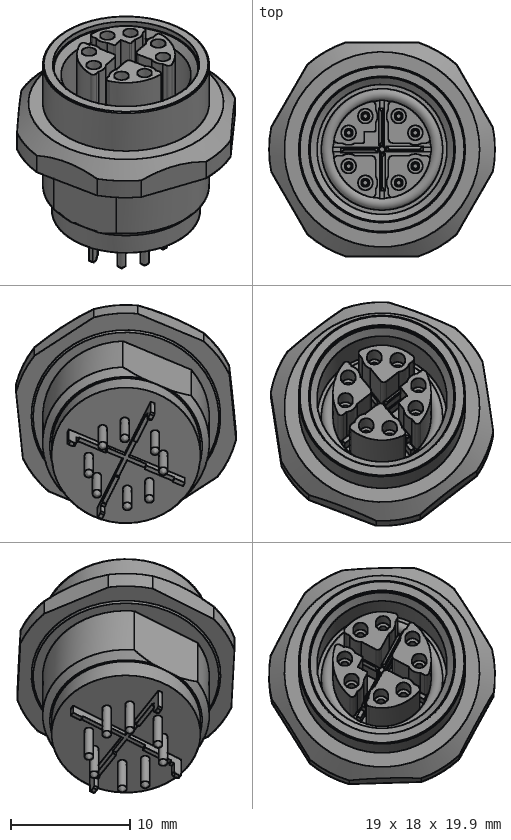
import cadquery as cq
import math

BODY_CHAMFER_BOTTOM_Z = 1.9
BODY_CHAMFER_TOP_Z = 2.55
WASHER_BOTTOM_Z = 7.87
NUT_BOTTOM_Z = 8.03
NUT_TOP_Z = 11.05
RIM_Z = 15.05
INSERT_TOP_Z = 16.05
PIN_TIP_Z = -3.85
CAVITY_FLOOR_Z = 7.5
CONTACT_TOP_Z = 13.0

BODY_DIAMETER = 14.0
BASE_DIAMETER = 12.5
BODY_FLATS = 12.5
BODY_CHAMFER_BOTTOM_DIAMETER = 12.8
RIM_CHAMFER = 0.1
NUT_FLATS = 18.0
NUT_CORNER_DIAMETER = 19.0
NUT_TOP_DIAMETER = 16.4
WASHER_DIAMETER = 15.9
WASHER_TIP_DIAMETER = 15.6

CAVITY_DIAMETER = 10.92
CAVITY_TAPER_DIAMETER = 12.1
CAVITY_MOUTH_DIAMETER = 12.3
CAVITY_MOUTH_DEPTH = 0.5
CAVITY_TAPER_DEPTH = 0.6
RING_MEAN_RADIUS = 4.6
RING_SECTION_RADIUS = 0.5
RING_CENTRE_HEIGHT = 0.3

KEYED_QUADRANT = 1
INSERT_RADIUS = 4.125
INSERT_GAP_HALF = 0.54
INSERT_BULGE_RADIUS = 1.02
INSERT_EDGE_RADIUS = 0.3
INSERT_CORNER_RADIUS = 0.35
KEY_TIP_RADIUS = 0.1
KEY_NOTCH = 1.5

CONTACT_NEAR = 1.4
CONTACT_FAR = 2.8
SOCKET_DIAMETER = 1.24
CONTACT_BORE_DIAMETER = 0.7
CONTACT_BORE_FLOOR_DIAMETER = 0.44
CONTACT_BORE_DEPTH = 4.0
PIN_DIAMETER = 0.75

LEGLESS_ARM = 0
SHIELD_THICKNESS = 0.36
SHIELD_HALF_WIDTH = 5.37
SHIELD_TOP_Z = 9.5
SHIELD_END_Z = -0.97
SHIELD_WEB_Z = -0.77
SHIELD_RELIEF_Z = -0.46
SHIELD_RELIEF_HALF = 1.8
SHIELD_END_WIDTH = 0.97
LEG_WIDTH = 0.7
LEG_TIP_Z = -2.27
LEG_TIP_CHAMFER = 0.15
BLADE_TOP_Z = 11.5
BLADE_INNER = 0.35
BLADE_OUTER = 3.45
BLADE_OFFSET = 0.1
BLADE_BEVEL = 0.25
HUB_RADIUS = 0.24


def cylinder(diameter, bottom, top):
    """Cylinder on the Z axis between two heights."""
    return cq.Workplane("XY").workplane(offset=bottom).circle(diameter / 2).extrude(top - bottom)


def box(x_min, x_max, y_min, y_max, z_min, z_max):
    """Axis-aligned block given by its limits."""
    size = (x_max - x_min, y_max - y_min, z_max - z_min)
    return cq.Workplane("XY").box(*size, centered=False).translate((x_min, y_min, z_min))


def make_body():
    """Turned shell with two flats, a chamfered lower edge and a stepped base."""
    body = (
        cq.Workplane("XZ")
        .moveTo(0, BODY_CHAMFER_BOTTOM_Z)
        .lineTo(BODY_CHAMFER_BOTTOM_DIAMETER / 2, BODY_CHAMFER_BOTTOM_Z)
        .lineTo(BODY_DIAMETER / 2, BODY_CHAMFER_TOP_Z)
        .lineTo(BODY_DIAMETER / 2, RIM_Z)
        .lineTo(0, RIM_Z)
        .close()
        .revolve(360, (0, 0), (0, 1))
        .faces(">Z")
        .chamfer(RIM_CHAMFER)
    )
    half_flats = BODY_FLATS / 2
    half_body = BODY_DIAMETER / 2
    for side in (1, -1):
        y_limits = sorted((side * half_flats, side * BODY_DIAMETER))
        body = body.cut(box(-half_body, half_body, *y_limits, BODY_CHAMFER_BOTTOM_Z, NUT_BOTTOM_Z))
    return body.union(cylinder(BASE_DIAMETER, 0, BODY_CHAMFER_BOTTOM_Z))


def make_nut():
    """Hexagonal nut with turned corners, a 45 degree top chamfer and a washer face."""
    corner_radius = NUT_CORNER_DIAMETER / 2
    chamfer = (NUT_CORNER_DIAMETER - NUT_TOP_DIAMETER) / 2
    turned = (
        cq.Workplane("XZ")
        .moveTo(0, NUT_BOTTOM_Z)
        .lineTo(corner_radius, NUT_BOTTOM_Z)
        .lineTo(corner_radius, NUT_TOP_Z - chamfer)
        .lineTo(NUT_TOP_DIAMETER / 2, NUT_TOP_Z)
        .lineTo(0, NUT_TOP_Z)
        .close()
        .revolve(360, (0, 0), (0, 1))
    )
    hexagon = (
        cq.Workplane("XY")
        .workplane(offset=NUT_BOTTOM_Z)
        .polygon(6, NUT_FLATS / math.cos(math.pi / 6))
        .extrude(NUT_TOP_Z - NUT_BOTTOM_Z)
    )
    washer = (
        cq.Workplane("XY")
        .workplane(offset=WASHER_BOTTOM_Z)
        .circle(WASHER_TIP_DIAMETER / 2)
        .workplane(offset=NUT_BOTTOM_Z - WASHER_BOTTOM_Z)
        .circle(WASHER_DIAMETER / 2)
        .loft()
    )
    return turned.intersect(hexagon).union(washer)


def make_cavity():
    """Mating cavity with a wider mouth that tapers down to the bore."""
    taper_top = RIM_Z - CAVITY_MOUTH_DEPTH
    return (
        cq.Workplane("XZ")
        .moveTo(0, CAVITY_FLOOR_Z)
        .lineTo(CAVITY_DIAMETER / 2, CAVITY_FLOOR_Z)
        .lineTo(CAVITY_DIAMETER / 2, taper_top - CAVITY_TAPER_DEPTH)
        .lineTo(CAVITY_TAPER_DIAMETER / 2, taper_top)
        .lineTo(CAVITY_MOUTH_DIAMETER / 2, taper_top)
        .lineTo(CAVITY_MOUTH_DIAMETER / 2, INSERT_TOP_Z)
        .lineTo(0, INSERT_TOP_Z)
        .close()
        .revolve(360, (0, 0), (0, 1))
    )


def make_sealing_ring():
    """Round-section ring partly sunk in the cavity floor."""
    return (
        cq.Workplane("XZ")
        .center(RING_MEAN_RADIUS, CAVITY_FLOOR_Z + RING_CENTRE_HEIGHT)
        .circle(RING_SECTION_RADIUS)
        .revolve(360, (-RING_MEAN_RADIUS, 0), (-RING_MEAN_RADIUS, 1))
    )


def make_insert(keyed):
    """Contact carrier of the +X +Y quadrant, bulging around its two contacts.

    The keyed carrier has a square notch in place of its rounded inner corner.
    """
    bottom = CAVITY_FLOOR_Z
    gap = INSERT_GAP_HALF
    quadrant = box(gap, INSERT_RADIUS, gap, INSERT_RADIUS, bottom, INSERT_TOP_Z)
    insert = quadrant.intersect(cylinder(2 * INSERT_RADIUS, bottom, INSERT_TOP_Z))
    insert = insert.edges("|Z").edges(">X or >Y").fillet(INSERT_EDGE_RADIUS)
    if keyed:
        insert = insert.cut(box(0, KEY_NOTCH, 0, KEY_NOTCH, bottom, INSERT_TOP_Z))
        insert = insert.edges("|Z").edges("<X or <Y").fillet(KEY_TIP_RADIUS)
    else:
        insert = insert.edges("|Z").edges("<(1, 1, 0)").fillet(INSERT_CORNER_RADIUS)
    bulges = (
        cq.Workplane("XY")
        .workplane(offset=bottom)
        .pushPoints([(CONTACT_NEAR, CONTACT_FAR), (CONTACT_FAR, CONTACT_NEAR)])
        .circle(INSERT_BULGE_RADIUS)
        .extrude(INSERT_TOP_Z - bottom)
        .intersect(cylinder(2 * INSERT_RADIUS, bottom, INSERT_TOP_Z))
    )
    return insert.union(bulges)


def make_socket_hole(x, y):
    """Hole above a contact, followed by the contact's own bore with a tapered end."""
    bore_radius = CONTACT_BORE_DIAMETER / 2
    floor_radius = CONTACT_BORE_FLOOR_DIAMETER / 2
    bore_bottom = CONTACT_TOP_Z - CONTACT_BORE_DEPTH
    return (
        cq.Workplane("XZ")
        .moveTo(0, bore_bottom)
        .lineTo(floor_radius, bore_bottom)
        .lineTo(bore_radius, bore_bottom + bore_radius - floor_radius)
        .lineTo(bore_radius, CONTACT_TOP_Z)
        .lineTo(SOCKET_DIAMETER / 2, CONTACT_TOP_Z)
        .lineTo(SOCKET_DIAMETER / 2, INSERT_TOP_Z)
        .lineTo(0, INSERT_TOP_Z)
        .close()
        .revolve(360, (0, 0), (0, 1))
        .translate((x, y, 0))
    )


def make_pin(x, y):
    """Solder pin with a 45 degree point, rooted in the body base."""
    radius = PIN_DIAMETER / 2
    return (
        cq.Workplane("XZ")
        .moveTo(0, PIN_TIP_Z)
        .lineTo(radius, PIN_TIP_Z + radius)
        .lineTo(radius, BODY_CHAMFER_BOTTOM_Z)
        .lineTo(0, BODY_CHAMFER_BOTTOM_Z)
        .close()
        .revolve(360, (0, 0), (0, 1))
        .translate((x, y, 0))
    )


def make_shield_half(with_leg):
    """Half of a shield plate, reaching from the axis towards +X, with its bevelled blade."""
    half_thickness = SHIELD_THICKNESS / 2
    limits_y = (-half_thickness, half_thickness)
    end_start = SHIELD_HALF_WIDTH - SHIELD_END_WIDTH
    upper = box(0, INSERT_RADIUS, *limits_y, 0, SHIELD_TOP_Z)
    web = box(0, SHIELD_HALF_WIDTH, *limits_y, SHIELD_RELIEF_Z, BODY_CHAMFER_BOTTOM_Z)
    outer_web = box(SHIELD_RELIEF_HALF, SHIELD_HALF_WIDTH, *limits_y, SHIELD_WEB_Z, 0)
    end = box(end_start, SHIELD_HALF_WIDTH, *limits_y, SHIELD_END_Z, 0)
    half = upper.union(web).union(outer_web).union(end)
    if with_leg:
        leg = box(SHIELD_HALF_WIDTH - LEG_WIDTH, SHIELD_HALF_WIDTH, *limits_y, LEG_TIP_Z, 0)
        half = half.union(leg.faces("<Z").edges("|Y").chamfer(LEG_TIP_CHAMFER))
    blade = box(
        BLADE_INNER,
        BLADE_OUTER,
        BLADE_OFFSET - half_thickness,
        BLADE_OFFSET + half_thickness,
        CAVITY_FLOOR_Z,
        BLADE_TOP_Z,
    )
    blade = blade.faces(">Z").edges("not <Y").chamfer(BLADE_BEVEL)
    return half.union(blade)


def rotated(shape, quarter_turns):
    """Copy of a shape turned about Z by quarter turns."""
    return shape.rotate((0, 0, 0), (0, 0, 1), 90 * quarter_turns)


contact_points = []
for x_sign in (1, -1):
    for y_sign in (1, -1):
        contact_points.append((x_sign * CONTACT_NEAR, y_sign * CONTACT_FAR))
        contact_points.append((x_sign * CONTACT_FAR, y_sign * CONTACT_NEAR))

result = make_body().union(make_nut()).cut(make_cavity()).union(make_sealing_ring())
for quarter in range(4):
    result = result.union(rotated(make_insert(quarter == KEYED_QUADRANT), quarter))
    result = result.union(rotated(make_shield_half(quarter != LEGLESS_ARM), quarter))
result = result.union(cylinder(2 * HUB_RADIUS, CAVITY_FLOOR_Z, BLADE_TOP_Z))
for point in contact_points:
    result = result.union(make_pin(*point)).cut(make_socket_hole(*point))